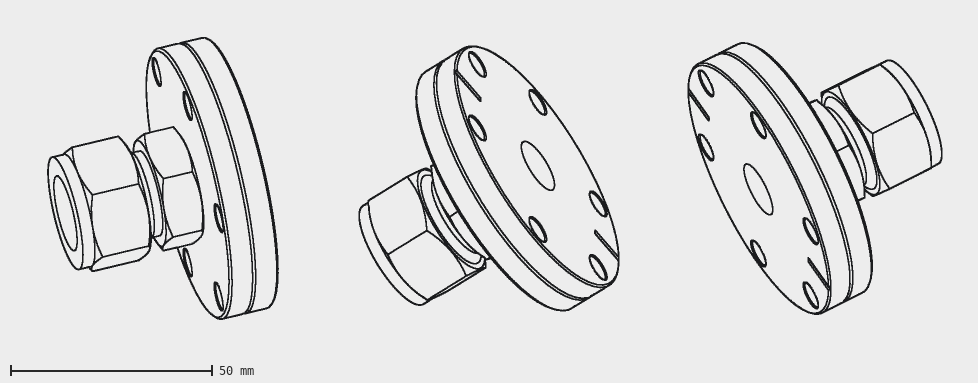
import cadquery as cq
import math


flange_dia = 69.1
flange_thickness = 12.7
front_chamfer = 0.6
back_chamfer = 0.45
rim_groove_width = 0.8
rim_groove_depth = 0.25
bolt_count = 6
first_bolt_angle = 90
bolt_circle_dia = 58.7
bolt_hole_dia = 6.7
bolt_hole_chamfer = 0.3

leak_groove_width = 1.6
leak_groove_depth = 0.35
leak_groove_inner_radius = 24.13

bore_dia = 13.97
socket_dia = 19.05
body_hex_flats = 27.0
body_hex_length = 9.9
neck_dia = 21.62
neck_length = 2.2
cone_dia = 25.4
cone_length = (cone_dia - neck_dia) / 2
nut_hex_flats = 28.7
nut_hex_length = 14.7
total_length = 44.5
body_bevel_angle = 28
nut_bevel_angle = 30
hex_back_face_inset = 0.2

flange_radius = flange_dia / 2
flange_front = flange_thickness
neck_start = flange_front + body_hex_length
cone_start = neck_start + neck_length
nut_start = cone_start + cone_length
collar_start = nut_start + nut_hex_length
collar_length = total_length - collar_start
collar_dia = nut_hex_flats
socket_depth = total_length - nut_start


def station(distance):
    """Plane across the axis, this far from the sealing side, facing -Y."""
    return cq.Workplane("XZ", origin=(0, -distance, 0))


def disc(diameter, start, length):
    return station(start).circle(diameter / 2).extrude(length)


def revolve_about_axis(profile):
    """Close a profile drawn in X and Y and turn it about the Y axis."""
    return profile.close().revolve(360, (0, 0, 0), (0, 1, 0))


def make_rim_groove():
    """Ring with a rounded section that cuts the middle of the rim."""
    middle = -flange_thickness / 2
    half_width = rim_groove_width / 2
    floor_radius = flange_radius - rim_groove_depth
    return revolve_about_axis(
        cq.Workplane("XY")
        .moveTo(flange_radius, middle - half_width)
        .threePointArc((floor_radius, middle), (flange_radius, middle + half_width))
    )


def make_leak_groove(side):
    """V groove from the middle of the sealing side out through the rim, side = +1 or -1."""
    length = flange_radius - leak_groove_inner_radius
    return (
        cq.Workplane("YZ", origin=(side * leak_groove_inner_radius, 0, 0))
        .moveTo(0, -leak_groove_width / 2)
        .lineTo(-leak_groove_depth, 0)
        .lineTo(0, leak_groove_width / 2)
        .close()
        .extrude(side * length)
    )


def make_bolt_hole(angle):
    """Cutter for one bolt hole, bevelled at both mouths."""
    hole_radius = bolt_hole_dia / 2
    mouth_radius = hole_radius + bolt_hole_chamfer
    cutter = revolve_about_axis(
        cq.Workplane("XY")
        .lineTo(mouth_radius, 0)
        .lineTo(hole_radius, -bolt_hole_chamfer)
        .lineTo(hole_radius, bolt_hole_chamfer - flange_thickness)
        .lineTo(mouth_radius, -flange_thickness)
        .lineTo(0, -flange_thickness)
    )
    cutter = cutter.translate((bolt_circle_dia / 2, 0, 0))
    return cutter.rotate((0, 0, 0), (0, 1, 0), angle)


def make_flange():
    flange = disc(flange_dia, 0, flange_thickness)
    flange = flange.faces("<Y").chamfer(front_chamfer)
    flange = flange.faces(">Y").chamfer(back_chamfer)
    flange = flange.cut(make_rim_groove())
    for side in (1, -1):
        flange = flange.cut(make_leak_groove(side))
    flange = flange.cut(disc(bore_dia, 0, flange_thickness))
    for index in range(bolt_count):
        angle = first_bolt_angle + index * 360 / bolt_count
        flange = flange.cut(make_bolt_hole(angle))
    return flange


def make_hex(flats, start, length, bevel_angle):
    """Hexagonal prism with corners on X, its corners bevelled by cones at both ends."""
    corner_radius = flats / 2 / math.cos(math.pi / 6)
    front_face_radius = flats / 2
    back_face_radius = front_face_radius - hex_back_face_inset
    slope = math.tan(math.radians(bevel_angle))
    back_bevel = (corner_radius - back_face_radius) * slope
    front_bevel = (corner_radius - front_face_radius) * slope
    end = start + length
    barrel = revolve_about_axis(
        cq.Workplane("XY")
        .moveTo(0, -start)
        .lineTo(back_face_radius, -start)
        .lineTo(corner_radius, -(start + back_bevel))
        .lineTo(corner_radius, -(end - front_bevel))
        .lineTo(front_face_radius, -end)
        .lineTo(0, -end)
    )
    prism = station(start).polygon(6, 2 * corner_radius).extrude(length)
    return prism.intersect(barrel)


def make_fitting():
    body_hex = make_hex(body_hex_flats, flange_front, body_hex_length, body_bevel_angle)
    neck = disc(neck_dia, neck_start, neck_length)
    cone = revolve_about_axis(
        cq.Workplane("XY")
        .moveTo(0, -cone_start)
        .lineTo(neck_dia / 2, -cone_start)
        .lineTo(cone_dia / 2, -nut_start)
        .lineTo(0, -nut_start)
    )
    nut_hex = make_hex(nut_hex_flats, nut_start, nut_hex_length, nut_bevel_angle)
    collar = disc(collar_dia, collar_start, collar_length)
    bore = disc(bore_dia, flange_front, total_length - flange_front)
    socket = disc(socket_dia, nut_start, socket_depth)
    fitting = body_hex.union(neck).union(cone).union(nut_hex).union(collar)
    return fitting.cut(bore).cut(socket)


flange = make_flange()
fitting = make_fitting()

result = cq.Compound.makeCompound([flange.val(), fitting.val()])